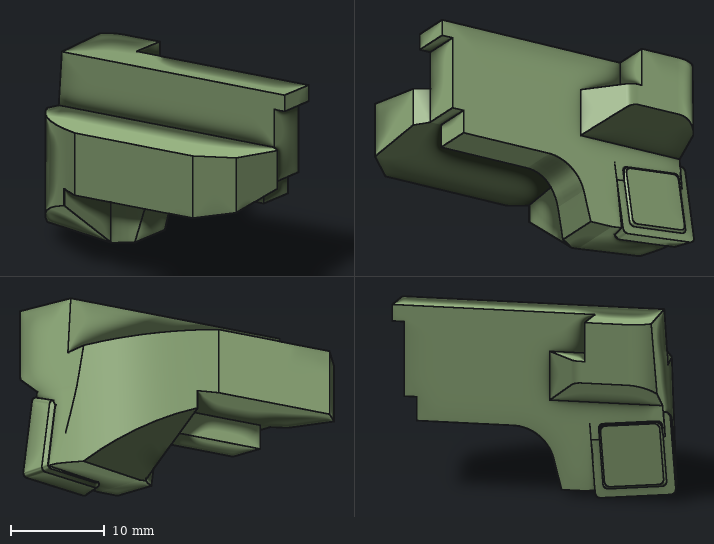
import cadquery as cq
import math

length = 31.2
top_z = 19.85
back_y = 21.5
rail_front_y = 12.48
rail_back_y = 17.05

rail_end_x = 29.88
rail_notch_z = 18.03

base_front_top_z = 15.6
base_back_top_z = 13.82
base_front_bottom_z = 8.67
base_back_bottom_z = 9.92
arc_end_x = 12.63
arc_center = (21.33, 19.4)
arc_radius = math.hypot(arc_end_x - arc_center[0], arc_center[1])
front_chamfer = 3.35
rear_chamfer = 1.35

head_corner_radius = 3.3
head_corner_x = 4.4
head_under_z = 13.25
head_root_z = 10.3
head_top_end_x = 8.98
head_fillet_start_x = 3.12
head_fillet_top = (18.1, 10.98)
head_fillet_middle = (17.37, 10.35)
head_fillet_low_z = 9.6
gusset_top_z = 15.6
gusset_corner_x = 10.1
gusset_end_x = 13.9
gusset_corner_radius = 3.2 / 2

nose_bottom_z = 0.6
nose_left_z = 1.7
nose_tilt_end_x = 9.98
nose_front_y = 1.1
nose_arc_start = (13.5, 4.0)
nose_arc_middle = (15.03, 6.3)
blade_start_x = 17.78
blade_bottom_z = 7.33
blade_end_x = 28.5
gullet_x = 10.6
gullet_end_x = 16.97
gullet_front_y = 9.8
gullet_run = gullet_end_x - gullet_x
gullet_rise = rail_front_y - gullet_front_y
gullet_radius = (gullet_run**2 + gullet_rise**2) / (2 * gullet_rise)

relief_left = (2.28, 10.05, 1.47)
relief_right = (nose_tilt_end_x, 10.05, nose_bottom_z)
relief_top = (gullet_x, nose_front_y, 6.85)

crease_back = (1.53, 16.97, 10.15)
crease_front = (1.9, 10.65, 9.67)
end_top = (2.45, rail_front_y, top_z)
end_bottom = (1.03, 13.0, 1.47)

insert_size = 8.9
insert_corner = (-0.05, 17.5, 0.8)
insert_roll = 5.5
insert_lean = 4.0
insert_relief = 11.0
insert_corner_radius = 0.55
insert_thickness = 3.0
insert_body_depth = 2.5
insert_edge_inset = 0.37
insert_land = 0.95
insert_pad_height = 0.25

trim_size = 93.57


def half_space(point_a, point_b, point_c, outward):
    """Large block on the outward side of the plane through three points."""
    a, b, c = cq.Vector(*point_a), cq.Vector(*point_b), cq.Vector(*point_c)
    normal = (b - a).cross(c - a)
    if normal.dot(cq.Vector(*outward)) < 0:
        normal = normal * -1
    plane = cq.Plane(origin=a, normal=normal)
    return cq.Workplane(plane).rect(trim_size, trim_size).extrude(trim_size)


def arc_x(y):
    """X of the cutting-side arc at a given Y."""
    return arc_center[0] - math.sqrt(arc_radius**2 - (y - arc_center[1]) ** 2)


def base_outline():
    """Plan prism of the base, arc side to the left, reaching back to the rail."""
    return (
        cq.Workplane("XY")
        .moveTo(arc_end_x, 0)
        .lineTo(length - front_chamfer, 0)
        .lineTo(length, front_chamfer)
        .lineTo(length, rail_front_y - rear_chamfer)
        .lineTo(rail_end_x, rail_front_y)
        .lineTo(rail_end_x, rail_back_y)
        .lineTo(arc_x(rail_back_y), rail_back_y)
        .threePointArc((arc_x(rail_back_y / 3), rail_back_y / 3), (arc_end_x, 0))
        .close()
        .extrude(top_z)
    )


def make_base():
    profile = [
        (0, base_front_bottom_z),
        (0, base_front_top_z),
        (rail_front_y, base_back_top_z),
        (rail_back_y, base_back_top_z),
        (rail_back_y, base_back_bottom_z),
        (rail_front_y, base_back_bottom_z),
    ]
    return cq.Workplane("YZ").polyline(profile).close().extrude(length).intersect(base_outline())


def make_rail():
    profile = [
        (arc_x(rail_front_y), base_back_bottom_z),
        (rail_end_x, base_back_bottom_z),
        (rail_end_x, rail_notch_z),
        (length, rail_notch_z),
        (length, top_z),
        (arc_x(rail_front_y), top_z),
    ]
    rail = cq.Workplane("XZ", origin=(0, rail_back_y, 0)).polyline(profile).close()
    return rail.extrude(rail_back_y - rail_front_y)


def make_head():
    left_x = head_corner_x - head_corner_radius
    plan = (
        cq.Workplane("XY")
        .moveTo(left_x, rail_front_y)
        .lineTo(gusset_end_x, rail_front_y)
        .lineTo(gusset_end_x, rail_back_y)
        .lineTo(gusset_corner_x, back_y)
        .lineTo(head_corner_x, back_y)
        .radiusArc((left_x, back_y - head_corner_radius), -head_corner_radius)
        .close()
        .extrude(top_z)
    )
    gusset_corner = cq.selectors.NearestToPointSelector((gusset_corner_x, back_y, top_z / 2))
    plan = plan.edges("|Z").edges(gusset_corner).fillet(gusset_corner_radius)
    side = [
        (rail_front_y, head_root_z),
        (rail_back_y, head_root_z),
        (back_y, head_under_z),
        (back_y, top_z),
        (rail_front_y, top_z),
    ]
    head = plan.intersect(cq.Workplane("YZ").polyline(side).close().extrude(length))
    above_gusset = cq.Workplane("XY").box(
        length, back_y - rail_back_y, top_z - gusset_top_z, centered=False
    ).translate((head_top_end_x, rail_back_y, gusset_top_z))
    root_fillet = (
        cq.Workplane("YZ", origin=(head_fillet_start_x, 0, 0))
        .moveTo(*head_fillet_top)
        .threePointArc(head_fillet_middle, (rail_back_y, head_fillet_low_z))
        .lineTo(rail_back_y, head_root_z)
        .close()
        .extrude(head_top_end_x - head_fillet_start_x)
    )
    return head.cut(above_gusset).union(root_fillet)


def make_nose():
    nose = (
        cq.Workplane("XZ", origin=(0, rail_back_y, 0))
        .moveTo(0, nose_left_z)
        .lineTo(nose_tilt_end_x, nose_bottom_z)
        .lineTo(arc_end_x, nose_bottom_z)
        .lineTo(*nose_arc_start)
        .threePointArc(nose_arc_middle, (blade_start_x, blade_bottom_z))
        .lineTo(blade_end_x, blade_bottom_z)
        .lineTo(blade_end_x, base_back_bottom_z)
        .lineTo(0, base_back_bottom_z)
        .close()
        .extrude(rail_back_y - nose_front_y)
    )
    nose = nose.intersect(base_outline())
    gullet = (
        cq.Workplane("XY")
        .moveTo(gullet_x, 0)
        .lineTo(gullet_x, gullet_front_y)
        .radiusArc((gullet_end_x, rail_front_y), gullet_radius)
        .lineTo(length, rail_front_y)
        .lineTo(length, 0)
        .close()
        .extrude(top_z)
    )
    relief = half_space(relief_left, relief_top, relief_right, (0, -1, -1))
    return nose.cut(gullet).cut(relief)


def rounded_square(size, depth):
    square = cq.Sketch().rect(size, size).vertices().fillet(insert_corner_radius)
    return square.moved(cq.Location(cq.Vector(0, 0, depth)))


def insert_layer(center, start_size, end_size, start_depth, end_depth):
    """Tapered slice of the insert between two depths from its cutting face."""
    start = rounded_square(start_size, start_depth)
    end = rounded_square(end_size, end_depth)
    return center.placeSketch(start, end).loft()


def make_insert():
    """Square insert with relieved sides, its cutting face toward +Y with a raised middle pad."""
    roll = math.radians(insert_roll)
    lean = math.radians(insert_lean)
    across = cq.Vector(math.cos(roll), 0, -math.sin(roll))
    up = cq.Vector(
        math.sin(roll) * math.cos(lean), -math.sin(lean), math.cos(roll) * math.cos(lean)
    )
    plane = cq.Plane(origin=insert_corner, xDir=across, normal=across.cross(up))
    center = cq.Workplane(plane).center(insert_size / 2, insert_size / 2)
    relief_inset = insert_body_depth * math.tan(math.radians(insert_relief))
    shoulder = insert_size - 2 * relief_inset
    seat = shoulder - 2 * insert_edge_inset
    body = insert_layer(center, insert_size, shoulder, 0, insert_body_depth)
    bevel = insert_layer(center, shoulder, seat, insert_body_depth, insert_thickness)
    pad_base = insert_size - 2 * insert_land
    pad_top = pad_base - 2 * insert_pad_height
    pad = insert_layer(center, pad_base, pad_top, 0, -insert_pad_height)
    return body.union(bevel).union(pad)


end_upper = half_space(crease_back, crease_front, end_top, (-1, 0, 0))
end_lower = half_space(crease_back, crease_front, end_bottom, (-1, 0, 0))

insert = make_insert()
holder = make_base().union(make_rail()).union(make_head()).union(make_nose())
holder = holder.cut(end_upper.intersect(end_lower)).cut(insert)

result = cq.Compound.makeCompound([holder.val(), insert.val()])